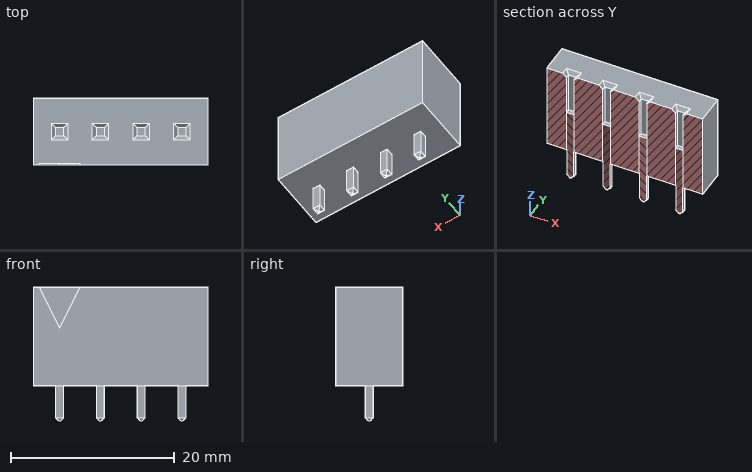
import cadquery as cq

housing_length = 21.4
housing_width = 8.2
housing_height = 12.1

pin_count = 4
pin_pitch = 4.99
pin_side = 1.0
pin_overhang = 4.3
pin_tip_height = 0.4
pin_tip_side = 0.2
pin_top = housing_height / 2

mouth_side = 2 * pin_side
mouth_depth = mouth_side / 4

mark_side = pin_pitch
mark_depth = 0.2

pin_positions = [(i - (pin_count - 1) / 2) * pin_pitch for i in range(pin_count)]


def make_taper(x, z, start_side, end_side, height):
    """Square frustum rising from z, changing from start_side to end_side."""
    return (
        cq.Workplane("XY", origin=(x, 0, z))
        .rect(start_side, start_side)
        .workplane(offset=height)
        .rect(end_side, end_side)
        .loft(ruled=True)
    )


def make_square_bar(x, bottom, top):
    """Square bar with the cross-section shared by the pins and their channels."""
    return cq.Workplane("XY", origin=(x, 0, bottom)).rect(pin_side, pin_side).extrude(top - bottom)


def make_mark():
    """Triangular prism pointing down, centred over the first pin."""
    centre = pin_positions[0]
    corners = [
        (centre - mark_side / 2, housing_height),
        (centre + mark_side / 2, housing_height),
        (centre, housing_height - mark_side),
    ]
    front_face = cq.Workplane("XZ", origin=(0, -housing_width / 2, 0))
    return front_face.polyline(corners).close().extrude(-mark_depth)


def make_housing():
    """Block with a through channel and tapered mouth for each pin."""
    body = cq.Workplane("XY").box(housing_length, housing_width, housing_height, centered=(True, True, False))
    for x in pin_positions:
        body = body.cut(make_square_bar(x, 0, housing_height))
        body = body.cut(make_taper(x, housing_height - mouth_depth, pin_side, mouth_side, mouth_depth))
    return body.cut(make_mark())


def make_pin(x):
    """Square pin with a blunt pyramidal tip, filling the lower part of its channel."""
    shank = make_square_bar(x, pin_tip_height - pin_overhang, pin_top)
    tip = make_taper(x, -pin_overhang, pin_tip_side, pin_side, pin_tip_height)
    return shank.union(tip)


housing = make_housing()
pins = [make_pin(x) for x in pin_positions]

result = cq.Compound.makeCompound([housing.val(), *[pin.val() for pin in pins]])